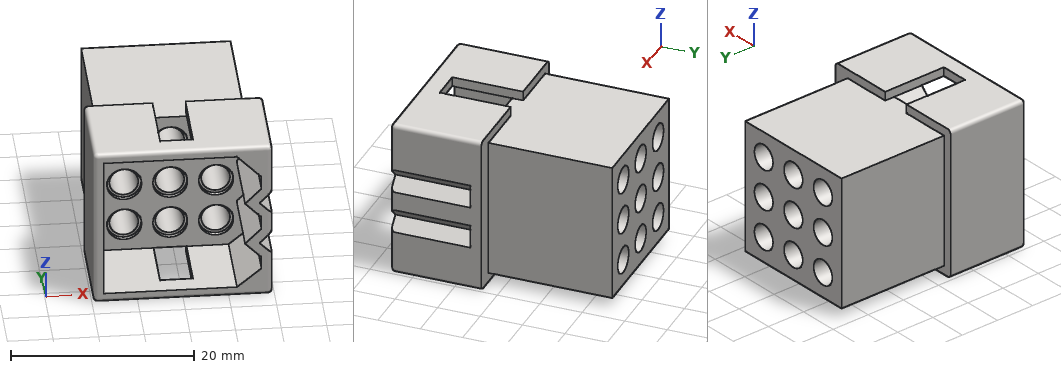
import cadquery as cq

total_length = 25.27
body_size = 16.37
body_half = body_size / 2

contact_pitch = 5.03

collar_width = 19.55
collar_height = 18.6
collar_length = 10.7
collar_wall = (collar_height - body_size) / 2
collar_left = -body_half - collar_wall
collar_right = collar_left + collar_width
edge_radius = 0.5

cavity_depth = 9.4
cavity_right = 9.07
corner_start_x = 6.4
upper_corner_drop = 2.68
lower_corner_drop = 2.2

key_center_z = -0.28
key_heights = [key_center_z + contact_pitch / 2, key_center_z - contact_pitch / 2]
rib_height = 1.8
groove_depth = 1.4

window_width = 3.61
window_front = 2.35

contact_rows = 3
hole_diameter = 3.15
counterbore_diameter = 3.8
counterbore_depth = 0.5


def make_body():
    """Square rear body reaching forward to the cavity floor."""
    length = total_length - cavity_depth
    block = cq.Workplane("XY").box(body_size, length, body_size, centered=(True, False, True))
    return block.translate((0, cavity_depth, 0))


def make_collar():
    """Block with rounded long edges and a rounded mating rim."""
    block = cq.Workplane("XY").box(collar_width, collar_length, collar_height, centered=(False, False, True))
    rounded = block.edges("|Y").fillet(edge_radius).faces("<Y").edges().fillet(edge_radius)
    return rounded.translate((collar_left, 0, 0))


def extrude_from_front(outline, depth):
    """Closed XZ outline extruded from the mating face toward +Y."""
    return cq.Workplane("XZ").polyline(outline).close().extrude(-depth)


def make_cavity():
    """Keyed cavity with two sloped corners and two V ribs on the +X wall."""
    outline = [
        (-body_half, -body_half),
        (-body_half, body_half),
        (corner_start_x, body_half),
        (cavity_right, body_half - upper_corner_drop),
    ]
    for z in key_heights:
        outline += [
            (cavity_right, z + rib_height),
            (cavity_right - rib_height, z),
            (cavity_right, z - rib_height),
        ]
    outline += [
        (cavity_right, -body_half + lower_corner_drop),
        (corner_start_x, -body_half),
    ]
    return extrude_from_front(outline, cavity_depth)


def make_groove(z):
    """45 degree V groove in the outer +X face, as deep along Y as the cavity."""
    outline = [
        (collar_right, z + groove_depth),
        (collar_right - groove_depth, z),
        (collar_right, z - groove_depth),
    ]
    return extrude_from_front(outline, cavity_depth)


def make_latch_windows():
    """Slots open to the rear of the collar, cut before the body is added."""
    length = collar_length - window_front
    slot = cq.Workplane("XY").box(window_width, length, collar_height, centered=(True, False, True))
    return slot.translate((0, window_front, 0))


def make_contact_holes():
    """Three by three through holes, counterbored at the cavity floor."""
    cavity_floor = cq.Workplane("XZ", origin=(0, cavity_depth, 0))
    grid = cavity_floor.rarray(contact_pitch, contact_pitch, contact_rows, contact_rows)
    bores = grid.circle(hole_diameter / 2).extrude(-(total_length - cavity_depth))
    counterbores = grid.circle(counterbore_diameter / 2).extrude(-counterbore_depth)
    return bores.union(counterbores)


collar = make_collar().cut(make_cavity()).cut(make_latch_windows())
for key_z in key_heights:
    collar = collar.cut(make_groove(key_z))

result = collar.union(make_body()).cut(make_contact_holes())